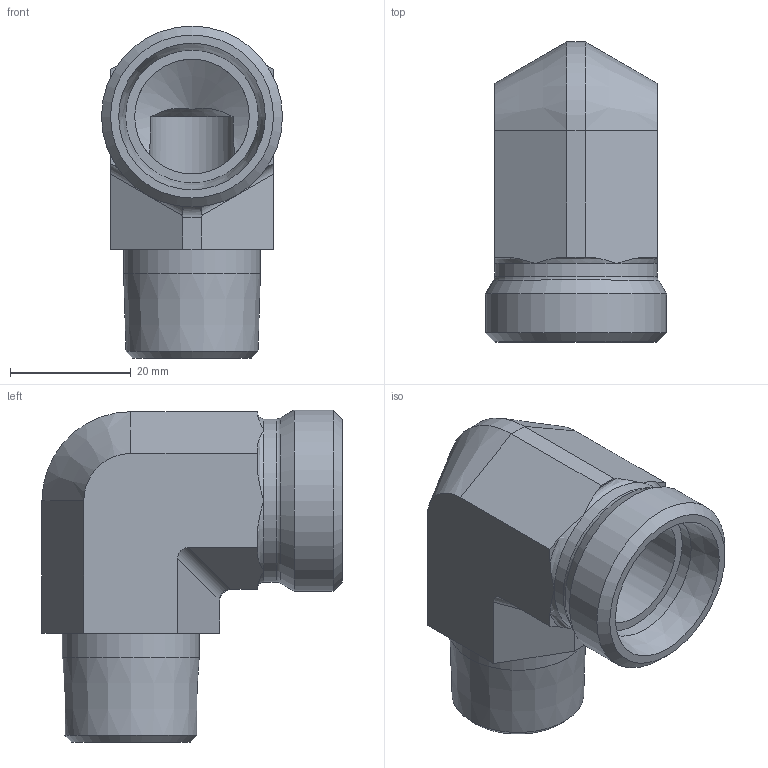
import cadquery as cq
import math


ACROSS_FLATS = 27.0
HALF_FLATS = ACROSS_FLATS / 2
CORNER_RADIUS = HALF_FLATS / math.cos(math.radians(30))
HALF_SIDE = CORNER_RADIUS / 2
CREST_HEIGHT = 14.72
HALF_CREST = (CORNER_RADIUS - CREST_HEIGHT) * math.tan(math.radians(60))
HORIZONTAL_LENGTH = 22.0
VERTICAL_LENGTH = 22.0
CROTCH_FILLET = 2.0

STUD_END = 40.0
COLLAR_RADIUS = 22.66 / 2
COLLAR_END = 26.0
STUD_CHAMFER = 1.1
STUD_TAPER = 1 / 32

FACE = 35.0
NECK_RADIUS = 27.0 / 2
COVE_RADIUS = 1.0
NECK_END = 24.45
NECK_FILLET = 1.3
CONNECTOR_RADIUS = 30.0 / 2
SHOULDER_ANGLE = 30.0
CONNECTOR_CHAMFER = 1.5

STUD_BORE_RADIUS = 14.0 / 2
MAIN_BORE_RADIUS = 19.0 / 2
TUBE_RADIUS = 22.0 / 2
TUBE_SEAT_DEPTH = 7.5
MOUTH_RADIUS = 24.3 / 2
MOUTH_ANGLE = 12.0
DRILL_HALF_ANGLE = 59.0

CLEARANCE = 0.5


UPPER_CORNERS = [
    (HALF_FLATS, HALF_SIDE),
    (HALF_CREST, CREST_HEIGHT),
    (-HALF_CREST, CREST_HEIGHT),
    (-HALF_FLATS, HALF_SIDE),
]


def hexagon(plane):
    """Hexagon with flats at +/-X and its two remaining corners truncated."""
    lower_corners = [(-x, -y) for x, y in UPPER_CORNERS]
    return cq.Workplane(plane).polyline(UPPER_CORNERS + lower_corners).close()


def half_hexagon():
    """Upper half of the hexagon, standing on the X axis."""
    return cq.Workplane("XZ").polyline([(HALF_FLATS, 0), *UPPER_CORNERS, (-HALF_FLATS, 0)]).close()


def make_elbow():
    """Two hexagonal legs joined by a revolved outer bend and a filleted crotch."""
    horizontal = hexagon("XZ").extrude(HORIZONTAL_LENGTH)
    vertical = hexagon("XY").extrude(-VERTICAL_LENGTH)
    bend = half_hexagon().revolve(90, (0, 0), (-1, 0))
    elbow = horizontal.union(vertical).union(bend).clean()
    reach = CREST_HEIGHT + CLEARANCE
    crotch = cq.selectors.BoxSelector(
        (-HALF_FLATS, -HALF_SIDE, -HALF_SIDE),
        (HALF_FLATS, -reach, -reach),
    )
    return elbow.edges(crotch).fillet(CROTCH_FILLET)


def trim_hexagon_end(elbow):
    """Round neck with a coved shoulder cut into the end of the horizontal hexagon."""
    cove_start = HORIZONTAL_LENGTH - COVE_RADIUS
    clear_radius = CORNER_RADIUS + CLEARANCE
    cutter = (
        cq.Workplane("XY")
        .moveTo(NECK_RADIUS, -HORIZONTAL_LENGTH)
        .radiusArc((NECK_RADIUS + COVE_RADIUS, -cove_start), COVE_RADIUS)
        .lineTo(clear_radius, -cove_start)
        .lineTo(clear_radius, -HORIZONTAL_LENGTH)
        .close()
        .revolve(360, (0, 0), (0, 1))
    )
    return elbow.cut(cutter)


def make_connector():
    """Neck, conical shoulder and chamfered end of the horizontal leg."""
    shoulder = NECK_END + (CONNECTOR_RADIUS - NECK_RADIUS) / math.tan(math.radians(SHOULDER_ANGLE))
    tangent = NECK_FILLET * math.tan(math.radians(SHOULDER_ANGLE / 2))
    round_end_radius = NECK_RADIUS + tangent * math.sin(math.radians(SHOULDER_ANGLE))
    round_end = NECK_END + tangent * math.cos(math.radians(SHOULDER_ANGLE))
    return (
        cq.Workplane("XY")
        .moveTo(0, 0)
        .lineTo(NECK_RADIUS, 0)
        .lineTo(NECK_RADIUS, -(NECK_END - tangent))
        .radiusArc((round_end_radius, -round_end), -NECK_FILLET)
        .lineTo(CONNECTOR_RADIUS, -shoulder)
        .lineTo(CONNECTOR_RADIUS, -(FACE - CONNECTOR_CHAMFER))
        .lineTo(CONNECTOR_RADIUS - CONNECTOR_CHAMFER, -FACE)
        .lineTo(0, -FACE)
        .close()
        .revolve(360, (0, 0), (0, 1))
    )


def make_stud():
    """Collar, tapered length and chamfered end of the vertical leg."""
    chamfer_start = STUD_END - STUD_CHAMFER
    tip_radius = COLLAR_RADIUS - (chamfer_start - COLLAR_END) * STUD_TAPER
    return (
        cq.Workplane("XZ")
        .polyline([
            (0, 0),
            (COLLAR_RADIUS, 0),
            (COLLAR_RADIUS, -COLLAR_END),
            (tip_radius, -chamfer_start),
            (tip_radius - STUD_CHAMFER, -STUD_END),
            (0, -STUD_END),
        ])
        .close()
        .revolve(360, (0, 0), (0, 1))
    )


def drill_tip_length(radius):
    """Length of the conical end of a drilled bore."""
    return radius / math.tan(math.radians(DRILL_HALF_ANGLE))


def make_main_bore():
    """Tube mouth, tube seat and conically ended bore of the horizontal leg."""
    mouth_depth = (MOUTH_RADIUS - TUBE_RADIUS) / math.tan(math.radians(MOUTH_ANGLE))
    return (
        cq.Workplane("XY")
        .polyline([
            (0, -FACE),
            (MOUTH_RADIUS, -FACE),
            (TUBE_RADIUS, -(FACE - mouth_depth)),
            (TUBE_RADIUS, -(FACE - TUBE_SEAT_DEPTH)),
            (MAIN_BORE_RADIUS, -(FACE - TUBE_SEAT_DEPTH)),
            (MAIN_BORE_RADIUS, 0),
            (0, drill_tip_length(MAIN_BORE_RADIUS)),
        ])
        .close()
        .revolve(360, (0, 0), (0, 1))
    )


def make_stud_bore():
    """Bore of the vertical leg, ending in a cone above the horizontal axis.

    The profile lies in the YZ plane so that the seams of the two bores do not cross.
    """
    return (
        cq.Workplane("YZ")
        .polyline([
            (0, -STUD_END),
            (STUD_BORE_RADIUS, -STUD_END),
            (STUD_BORE_RADIUS, 0),
            (0, drill_tip_length(STUD_BORE_RADIUS)),
        ])
        .close()
        .revolve(360, (0, 0), (0, 1))
    )


body = trim_hexagon_end(make_elbow())
body = body.union(make_connector()).union(make_stud())
result = body.cut(make_main_bore()).cut(make_stud_bore())